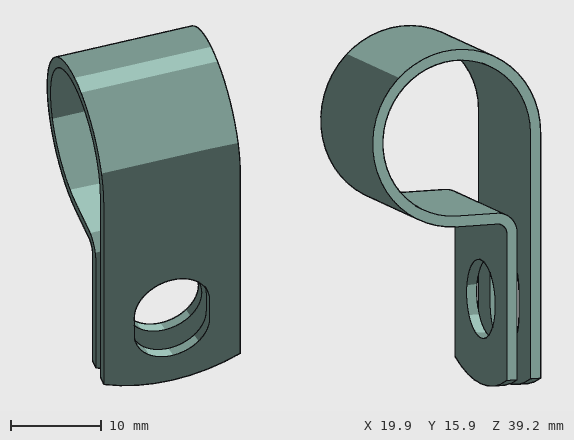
import cadquery as cq
import math

total_height = 39.25
strap_width = 15.9
thickness = 1.2
loop_diameter = 19.9
leg_gap = 1.55
bend_inner_radius = 1.18
hole_diameter = 8.75
hole_height = 9.55
slot_length = 11.5
tip_rise = 1.73

outer_radius = loop_diameter / 2
inner_radius = outer_radius - thickness
bottom_z = outer_radius - total_height
short_leg_right = inner_radius - leg_gap
short_leg_left = short_leg_right - thickness
bend_outer_radius = bend_inner_radius + thickness
bend_x = short_leg_left - bend_inner_radius
bend_z = -outer_radius - bend_inner_radius
hole_z = bottom_z + hole_height
diagonal = math.sqrt(0.5)


def make_strap():
    """Bent strip: long leg, three-quarter loop, flat run, bend and short leg."""
    return (
        cq.Workplane("XZ")
        .moveTo(outer_radius, bottom_z)
        .lineTo(outer_radius, 0)
        .threePointArc((-outer_radius * diagonal, outer_radius * diagonal), (0, -outer_radius))
        .lineTo(bend_x, -outer_radius)
        .threePointArc(
            (bend_x + bend_inner_radius * diagonal, bend_z + bend_inner_radius * diagonal),
            (short_leg_left, bend_z),
        )
        .lineTo(short_leg_left, bottom_z)
        .lineTo(short_leg_right, bottom_z)
        .lineTo(short_leg_right, bend_z)
        .threePointArc(
            (bend_x + bend_outer_radius * diagonal, bend_z + bend_outer_radius * diagonal),
            (bend_x, -inner_radius),
        )
        .lineTo(0, -inner_radius)
        .threePointArc((-inner_radius * diagonal, inner_radius * diagonal), (inner_radius, 0))
        .lineTo(inner_radius, bottom_z)
        .close()
        .extrude(strap_width / 2, both=True)
    )


def make_end_envelope():
    """Block around the whole strap whose lower face is the arc of the leg ends."""
    half_width = strap_width / 2
    corner_z = bottom_z + tip_rise
    return (
        cq.Workplane("YZ")
        .moveTo(-half_width, outer_radius)
        .lineTo(-half_width, corner_z)
        .threePointArc((0, bottom_z), (half_width, corner_z))
        .lineTo(half_width, outer_radius)
        .close()
        .extrude(outer_radius, both=True)
    )


def make_round_hole():
    """Round hole along X through the short leg."""
    return (
        cq.Workplane("YZ", origin=(short_leg_left, 0, hole_z))
        .circle(hole_diameter / 2)
        .extrude(thickness)
    )


def make_slot():
    """Upright slot along X through the long leg, centred on the round hole."""
    return (
        cq.Workplane("YZ", origin=(inner_radius, 0, hole_z))
        .slot2D(slot_length, hole_diameter, 90)
        .extrude(thickness)
    )


result = (
    make_strap()
    .intersect(make_end_envelope())
    .cut(make_round_hole())
    .cut(make_slot())
)